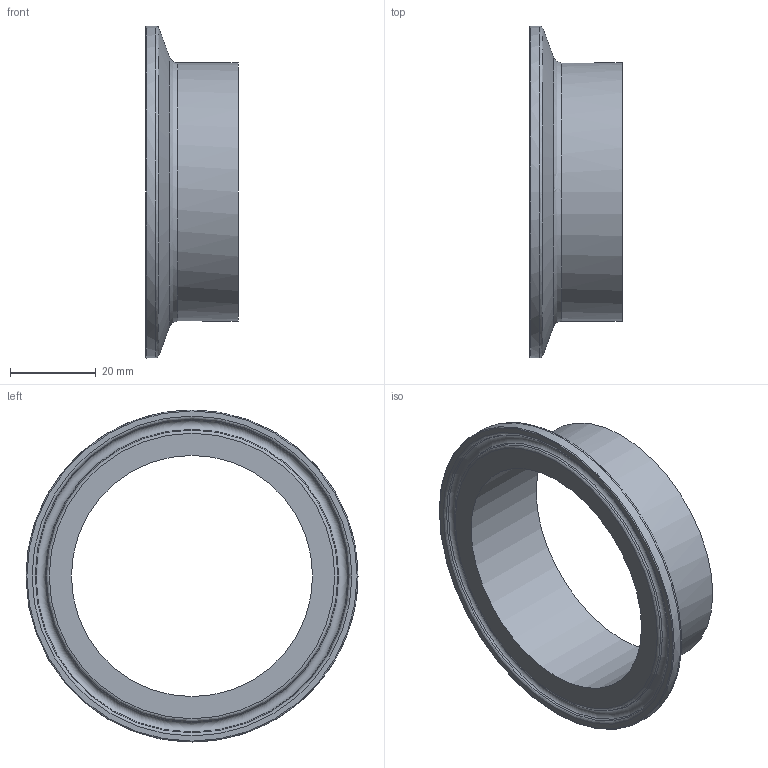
import cadquery as cq
import math

length = 21.5
flange_radius = 77.5 / 2
tube_radius = 60.3 / 2
wall_thickness = 2.0
bore_radius = tube_radius - wall_thickness

rim_width = 2.85
cone_angle = 20.0
rim_back_fillet = 0.75
rim_front_fillet = 0.2
neck_fillet = 2.0

groove_radius = 35.33
groove_half_width = 2.0
flank_angle = 60.0
floor_radius = 1.25
lip_radius = 0.8


def turned_body():
    """Flange and tube with the bore, before the gasket groove is cut."""
    cone_length = (flange_radius - tube_radius) * math.tan(math.radians(cone_angle))
    neck_x = rim_width + cone_length
    body = (
        cq.Workplane("XZ")
        .moveTo(0, bore_radius)
        .lineTo(0, flange_radius)
        .lineTo(rim_width, flange_radius)
        .lineTo(neck_x, tube_radius)
        .lineTo(length, tube_radius)
        .lineTo(length, bore_radius)
        .close()
        .revolve(360, (0, 0, 0), (1, 0, 0))
    )
    body = fillet_circle(body, 0, flange_radius, rim_front_fillet)
    body = fillet_circle(body, rim_width, flange_radius, rim_back_fillet)
    return fillet_circle(body, neck_x, tube_radius, neck_fillet)


def fillet_circle(body, x, radius, fillet_radius):
    """Round the circular edge whose station along X and radius are given."""
    tolerance = 0.01
    box = cq.selectors.BoxSelector(
        (x - tolerance, -radius - tolerance, -radius - tolerance),
        (x + tolerance, radius + tolerance, radius + tolerance),
        boundingbox=True,
    )
    return body.edges(box).edges(cq.selectors.RadiusNthSelector(-1)).fillet(fillet_radius)


def gasket_groove():
    """Ring to be removed from the sealing face at X = 0."""
    flank = math.radians(flank_angle)
    half_flank = flank / 2

    lip_offset = groove_half_width - lip_radius * math.sin(flank)
    lip_depth = lip_radius * (1 - math.cos(flank))
    floor_offset = floor_radius * math.sin(flank)
    floor_edge_depth = lip_depth + (lip_offset - floor_offset) * math.tan(flank)
    floor_depth = floor_edge_depth + floor_radius * (1 - math.cos(flank))

    lip_mid_offset = groove_half_width - lip_radius * math.sin(half_flank)
    lip_mid_depth = lip_radius * (1 - math.cos(half_flank))

    return (
        cq.Workplane("XZ")
        .moveTo(0, groove_radius - groove_half_width)
        .threePointArc(
            (lip_mid_depth, groove_radius - lip_mid_offset),
            (lip_depth, groove_radius - lip_offset),
        )
        .lineTo(floor_edge_depth, groove_radius - floor_offset)
        .threePointArc(
            (floor_depth, groove_radius),
            (floor_edge_depth, groove_radius + floor_offset),
        )
        .lineTo(lip_depth, groove_radius + lip_offset)
        .threePointArc(
            (lip_mid_depth, groove_radius + lip_mid_offset),
            (0, groove_radius + groove_half_width),
        )
        .close()
        .revolve(360, (0, 0, 0), (1, 0, 0))
    )


result = turned_body().cut(gasket_groove())